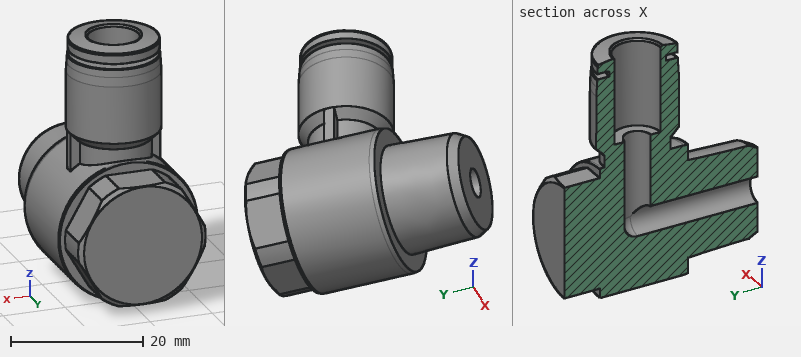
import cadquery as cq


body_radius = 22.5 / 2
body_front = -8.8
body_back = 6.6
body_edge_drop = 0.12
body_front_edge = 0.78
body_back_edge = 0.35

stem_root_radius = 8.5
stem_end_radius = 8.08
stem_tip_radius = 14.5 / 2
stem_end = -20.95
stem_tip_length = 1.55

hex_across_flats = 19.18
hex_corner_radius = 10.3
hex_turn_angle = 30
hex_back = 12.75
hex_chamfer_length = 0.5
hex_chamfer_drop = 0.78

overall_height = 40.8
socket_top = overall_height - body_radius
neck_radius = 5.8
neck_top = 13.18
sleeve_radius = 14.5 / 2
sleeve_bottom = 14.65
sleeve_taper_start = 23.85
sleeve_band_bottom = 25.38
sleeve_band_radius = 7.15
sleeve_top = 26.7
sleeve_top_radius = 7.05
sleeve_edge_chamfer = 0.12
collar_radius = 9.95 / 2
collar_flare = 0.15
button_bottom = 27.55
button_radius = 14.0 / 2
button_shoulder = 29.17
button_rim_radius = 13.8 / 2
button_rim_drop = 0.3

rib_width = 1.55

passage_radius = 4.5 / 2
tube_bore_radius = 7.95 / 2
tube_bore_bottom = sleeve_bottom
tube_mouth_radius = 4.3
tube_mouth_depth = tube_mouth_radius - tube_bore_radius


def revolve_about_y(profile):
    """Revolve (radius, y) points, closed on the Y axis."""
    points = [(0, profile[0][1])] + profile + [(0, profile[-1][1])]
    return cq.Workplane("XY").polyline(points).close().revolve(360, (0, 0), (0, 1))


def revolve_about_z(profile):
    """Revolve (radius, z) points, closed on the Z axis."""
    points = [(0, profile[0][1])] + profile + [(0, profile[-1][1])]
    return cq.Workplane("XZ").polyline(points).close().revolve(360, (0, 0), (0, 1))


def make_body():
    edge_radius = body_radius - body_edge_drop
    return revolve_about_y([
        (edge_radius, body_front),
        (body_radius, body_front + body_front_edge),
        (body_radius, body_back - body_back_edge),
        (edge_radius, body_back),
    ])


def make_stem():
    return revolve_about_y([
        (stem_tip_radius, stem_end),
        (stem_end_radius, stem_end + stem_tip_length),
        (stem_root_radius, body_front),
        (stem_root_radius, 0),
    ])


def make_hex_head():
    """Hexagon with flats facing +Z and -Z, turned to round its corners."""
    prism = (
        cq.Workplane("XZ")
        .polygon(6, hex_across_flats, circumscribed=True)
        .extrude(-hex_back)
        .rotate((0, 0, 0), (0, 1, 0), hex_turn_angle)
    )
    turned_envelope = revolve_about_y([
        (hex_corner_radius, 0),
        (hex_corner_radius, hex_back - hex_chamfer_length),
        (hex_corner_radius - hex_chamfer_drop, hex_back),
    ])
    return prism.intersect(turned_envelope)


def make_socket():
    return revolve_about_z([
        (neck_radius, 0),
        (neck_radius, neck_top),
        (sleeve_radius, sleeve_bottom),
        (sleeve_radius, sleeve_taper_start),
        (sleeve_band_radius, sleeve_band_bottom),
        (sleeve_top_radius, sleeve_top - sleeve_edge_chamfer),
        (sleeve_top_radius - sleeve_edge_chamfer, sleeve_top),
        (collar_radius, sleeve_top),
        (collar_radius, button_bottom - collar_flare),
        (collar_radius + collar_flare, button_bottom),
        (button_radius, button_bottom),
        (button_radius, button_shoulder - button_rim_drop),
        (button_rim_radius, button_shoulder),
        (tube_mouth_radius, socket_top),
    ])


def make_ribs():
    return cq.Workplane("XY").box(
        2 * sleeve_radius, rib_width, sleeve_bottom, centered=(True, True, False)
    )


def make_passage():
    """Elbow of two bores with a ball-shaped corner, plus the wider tube bore."""
    stem_bore = cq.Workplane("XZ").circle(passage_radius).extrude(-stem_end)
    corner = cq.Workplane("XY").sphere(passage_radius)
    socket_bore = revolve_about_z([
        (passage_radius, 0),
        (passage_radius, tube_bore_bottom),
        (tube_bore_radius, tube_bore_bottom),
        (tube_bore_radius, socket_top - tube_mouth_depth),
        (tube_mouth_radius, socket_top),
    ])
    return socket_bore.union(stem_bore).union(corner)


result = (
    make_body()
    .union(make_stem())
    .union(make_hex_head())
    .union(make_socket())
    .union(make_ribs())
    .cut(make_passage())
)